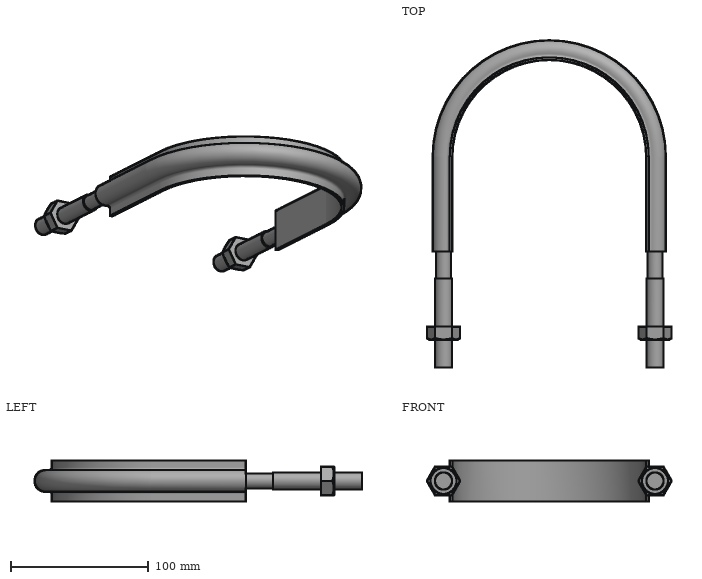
import cadquery as cq
import math

leg_offset = 77.0

rod_diameter = 11.2
thread_diameter = 12.5
thread_length = 65.0
bolt_end_y = -153.55
thread_start_y = bolt_end_y + thread_length

band_width = 30.0
band_inner = 70.5
band_thickness = 2.0
band_outer = band_inner + band_thickness
bulge_radius = 8.0
bulge_fillet = 2.0
sleeve_end_y = -69.0

nut_flats = 21.0
nut_corners = nut_flats / math.cos(math.radians(30))
nut_height = 10.0
thread_beyond_nut = 20.0
nut_end_y = bolt_end_y + thread_beyond_nut
nut_face_diameter = 19.0
nut_chamfer_angle = 30.0
nut_chamfer_height = (nut_corners - nut_face_diameter) / 2 * math.tan(math.radians(nut_chamfer_angle))

leg_sides = (-1, 1)


def sweep_along_u(profile, leg_length):
    """Carry a profile, drawn on XZ at the +X leg, around the half bend and down both legs."""
    bend = profile.revolve(180, (0, 0, 0), (0, 1, 0))
    leg = profile.toPending().extrude(leg_length)
    return bend.union(leg).union(leg.mirror("YZ"))


def leg_cylinder(side, diameter, start_y, end_y):
    """Cylinder on the axis of one leg, from start_y toward -Y."""
    return (
        cq.Workplane("XZ", origin=(side * leg_offset, start_y, 0))
        .circle(diameter / 2)
        .extrude(start_y - end_y)
    )


def make_rod():
    profile = cq.Workplane("XZ").moveTo(leg_offset, 0).circle(rod_diameter / 2)
    return sweep_along_u(profile, -thread_start_y)


def make_u_bolt():
    bolt = make_rod()
    for side in leg_sides:
        bolt = bolt.union(leg_cylinder(side, thread_diameter, thread_start_y, bolt_end_y))
    return bolt


def make_sleeve():
    fillet_x = band_outer + bulge_fillet
    fillet_z = math.sqrt((bulge_radius + bulge_fillet) ** 2 - (leg_offset - fillet_x) ** 2)
    bulge_share = bulge_radius / (bulge_radius + bulge_fillet)
    tangent_x = leg_offset + (fillet_x - leg_offset) * bulge_share
    tangent_z = fillet_z * bulge_share
    half_width = band_width / 2

    profile = (
        cq.Workplane("XZ")
        .moveTo(band_inner, -half_width)
        .lineTo(band_outer, -half_width)
        .lineTo(band_outer, -fillet_z)
        .radiusArc((tangent_x, -tangent_z), bulge_fillet)
        .threePointArc((leg_offset + bulge_radius, 0), (tangent_x, tangent_z))
        .radiusArc((band_outer, fillet_z), bulge_fillet)
        .lineTo(band_outer, half_width)
        .lineTo(band_inner, half_width)
        .close()
    )
    return sweep_along_u(profile, -sleeve_end_y).cut(make_rod())


def make_nut(side):
    """Hexagon nut with corners on X; its -Y face is chamfered."""
    blank = (
        cq.Workplane("XZ", origin=(side * leg_offset, nut_end_y + nut_height, 0))
        .polygon(6, nut_corners)
        .extrude(nut_height)
    )
    corner_radius = nut_corners / 2
    chamfer_envelope = (
        cq.Workplane("XY", origin=(side * leg_offset, nut_end_y, 0))
        .lineTo(nut_face_diameter / 2, 0)
        .lineTo(corner_radius, nut_chamfer_height)
        .lineTo(corner_radius, nut_height)
        .lineTo(0, nut_height)
        .close()
        .revolve(360, (0, 0, 0), (0, 1, 0))
    )
    bore = leg_cylinder(side, thread_diameter, thread_start_y, bolt_end_y)
    return blank.intersect(chamfer_envelope).cut(bore)


u_bolt = make_u_bolt()
sleeve = make_sleeve()
nuts = [make_nut(side) for side in leg_sides]

bodies = [u_bolt, sleeve, *nuts]
result = cq.Compound.makeCompound([body.solids().val() for body in bodies])